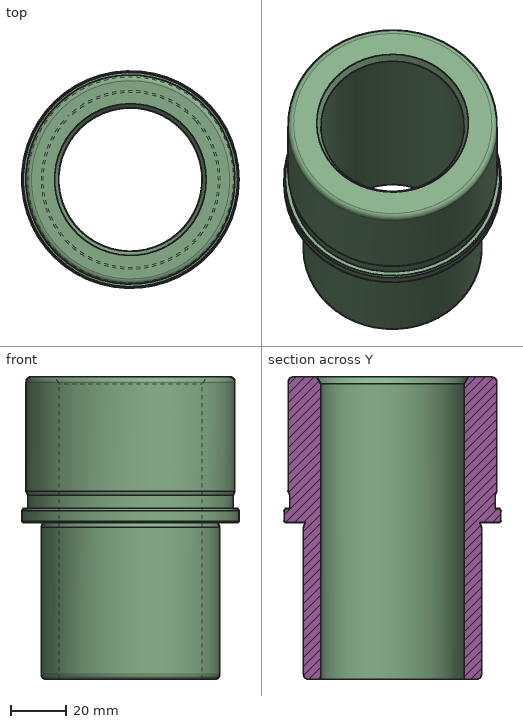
import cadquery as cq

total_height = 110.0
bore_diameter = 52.0
head_diameter = 76.0
groove_diameter = 74.8
collar_diameter = 79.0
shank_diameter = 65.0

collar_bottom = 57.0
collar_thickness = 5.2
collar_top = collar_bottom + collar_thickness
groove_height = 6.3
head_bottom = collar_top + groove_height

end_round = 2.0
bore_chamfer_width = 1.5
bore_chamfer_height = 2.6
collar_chamfer_height = 0.8
collar_chamfer_width = 0.5
collar_bottom_chamfer = 0.4
groove_taper_height = 1.5
neck_height = 1.6
neck_depth = 0.7

bore_radius = bore_diameter / 2
head_radius = head_diameter / 2
groove_radius = groove_diameter / 2
collar_radius = collar_diameter / 2
shank_radius = shank_diameter / 2


def make_turned_body():
    """Revolve the half section, still with sharp outer end edges."""
    section = (
        cq.Workplane("XZ")
        .moveTo(bore_radius, 0)
        .lineTo(shank_radius, 0)
        .lineTo(shank_radius, collar_bottom - neck_height)
        .lineTo(shank_radius - neck_depth, collar_bottom)
        .lineTo(collar_radius - collar_bottom_chamfer, collar_bottom)
        .lineTo(collar_radius, collar_bottom + collar_bottom_chamfer)
        .lineTo(collar_radius, collar_top - collar_chamfer_height)
        .lineTo(collar_radius - collar_chamfer_width, collar_top)
        .lineTo(groove_radius, collar_top)
        .lineTo(groove_radius, head_bottom - groove_taper_height)
        .lineTo(head_radius, head_bottom)
        .lineTo(head_radius, total_height)
        .lineTo(bore_radius + bore_chamfer_width, total_height)
        .lineTo(bore_radius, total_height - bore_chamfer_height)
        .close()
    )
    return section.revolve(360, (0, 0, 0), (0, 1, 0))


def round_outer_ends(body):
    """Round the outer edge of the head's top and of the shank's bottom."""
    outermost_edge = cq.selectors.RadiusNthSelector(-1)
    rounded = body.faces(">Z").edges(outermost_edge).fillet(end_round)
    return rounded.faces("<Z").edges(outermost_edge).fillet(end_round)


result = round_outer_ends(make_turned_body())